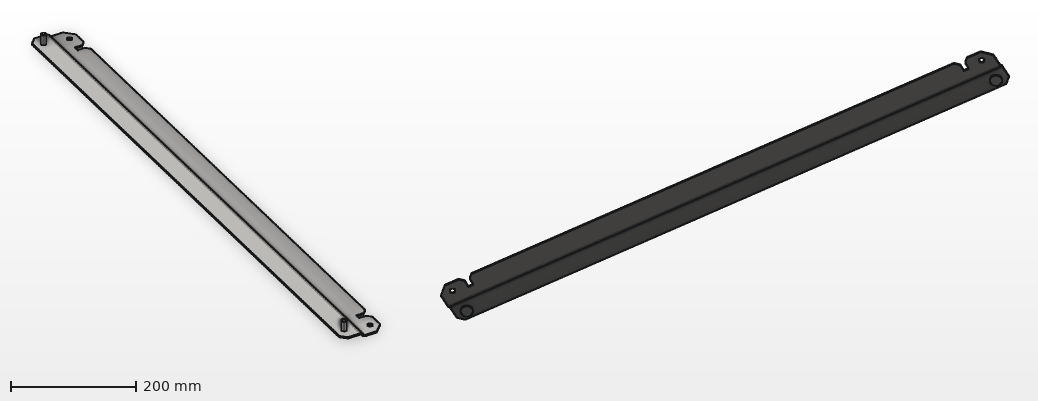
import cadquery as cq
import math

length = 1000.0
width = 78.0
sheet = 3.0
step_height = 6.0
joggle_start = 32.0
joggle_run = 10.0
front_chamfer = 10.0
rear_chamfer = 15.0

notch_start = 47.0
notch_width = 9.0
notch_depth = 20.0
notch_lead_in = 7.0

end_inset = 21.0
edge_inset = 15.0
hole_diameter = 9.0
stud_diameter = 9.0
tip_chamfer = 1.0
head_diameter = 20.0
head_thickness = 3.0
total_height = 28.0

front_y = -width / 2
rear_y = width / 2
hole_y = rear_y - edge_inset
stud_y = front_y + edge_inset
sides = (-1, 1)


def make_profile():
    """Constant-thickness section with an S-shaped joggle of two tangent arcs."""
    bend_angle = 2 * math.atan2(step_height, joggle_run)
    mid_radius = joggle_run / (2 * math.sin(bend_angle))
    outer_radius = mid_radius + sheet / 2
    inner_radius = mid_radius - sheet / 2
    slope_front = front_y + joggle_start
    slope_rear = slope_front + joggle_run
    upper_center_z = step_height + sheet / 2 - mid_radius
    lower_center_z = sheet / 2 + mid_radius

    def upper_bend(radius, angle):
        return (slope_front + radius * math.sin(angle), upper_center_z + radius * math.cos(angle))

    def lower_bend(radius, angle):
        return (slope_rear - radius * math.sin(angle), lower_center_z - radius * math.cos(angle))

    half_bend = bend_angle / 2
    return (
        cq.Workplane("YZ", origin=(-length / 2, 0, 0))
        .moveTo(front_y, step_height)
        .lineTo(slope_front, step_height)
        .threePointArc(upper_bend(inner_radius, half_bend), upper_bend(inner_radius, bend_angle))
        .threePointArc(lower_bend(outer_radius, half_bend), (slope_rear, 0))
        .lineTo(rear_y, 0)
        .lineTo(rear_y, sheet)
        .lineTo(slope_rear, sheet)
        .threePointArc(lower_bend(inner_radius, half_bend), lower_bend(inner_radius, bend_angle))
        .threePointArc(upper_bend(outer_radius, half_bend), (slope_front, step_height + sheet))
        .lineTo(front_y, step_height + sheet)
        .close()
        .extrude(length)
    )


def make_notch(side):
    """Cutter for a notch with a flared mouth at the given end of the strip."""
    outer_x = side * (length / 2 - notch_start)
    inner_x = outer_x - side * notch_width
    flare = side * notch_lead_in
    mouth_y = rear_y - notch_lead_in
    bottom_y = rear_y - notch_depth
    return (
        cq.Workplane("XY")
        .moveTo(outer_x + flare, rear_y)
        .lineTo(outer_x, mouth_y)
        .lineTo(outer_x, bottom_y)
        .lineTo(inner_x, bottom_y)
        .lineTo(inner_x, mouth_y)
        .lineTo(inner_x - flare, rear_y)
        .close()
        .extrude(sheet)
    )


def make_strip():
    strip = make_profile()
    strip = strip.edges("|Z and <Y").chamfer(front_chamfer)
    strip = strip.edges("|Z and >Y").chamfer(rear_chamfer)
    for side in sides:
        x = side * (length / 2 - end_inset)
        strip = strip.cut(make_notch(side))
        hole = cq.Workplane("XY").center(x, hole_y).circle(hole_diameter / 2).extrude(sheet)
        strip = strip.cut(hole)
        stud_hole = (
            cq.Workplane("XY", origin=(x, stud_y, step_height))
            .circle(stud_diameter / 2)
            .extrude(sheet)
        )
        strip = strip.cut(stud_hole)
    return strip


def make_stud(side):
    """Stud with its head under the front flange and a chamfered tip."""
    x = side * (length / 2 - end_inset)
    head_bottom = step_height - head_thickness

    def cylinder(diameter, bottom, top):
        return cq.Workplane("XY", origin=(x, stud_y, bottom)).circle(diameter / 2).extrude(top - bottom)

    head = cylinder(head_diameter, head_bottom, step_height)
    shank = cylinder(stud_diameter, head_bottom, total_height).faces(">Z").chamfer(tip_chamfer)
    return head.union(shank)


strip = make_strip()
studs = [make_stud(side) for side in sides]

result = cq.Compound.makeCompound([strip.val(), *[stud.val() for stud in studs]])